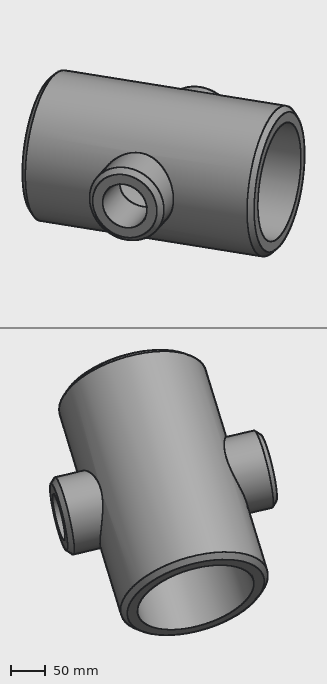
import cadquery as cq

main_length = 355.5
main_diameter = 219.0
main_bore = 172.8

branch_span = 310.8
branch_diameter = 114.0
branch_bore = 68.0

bevel_along = 8.0
bevel_radial = 8.0


def beveled_bar(length, diameter):
    """Solid bar along X, centred on the origin, with both end edges bevelled."""
    radius = diameter / 2
    half = length / 2
    profile = [
        (-half, 0),
        (-half, radius - bevel_radial),
        (-half + bevel_along, radius),
        (half - bevel_along, radius),
        (half, radius - bevel_radial),
        (half, 0),
    ]
    return cq.Workplane("XY").polyline(profile).close().revolve(360, (0, 0, 0), (1, 0, 0))


def along_y(bar):
    """Turn a bar lying along X so that it lies along Y."""
    return bar.rotate((0, 0, 0), (0, 0, 1), 90)


def bore(length, diameter):
    """Plain cylinder along X, centred on the origin."""
    return cq.Workplane("YZ").circle(diameter / 2).extrude(length / 2, both=True)


outer = beveled_bar(main_length, main_diameter).union(along_y(beveled_bar(branch_span, branch_diameter)))

result = outer.cut(bore(main_length, main_bore)).cut(along_y(bore(branch_span, branch_bore)))